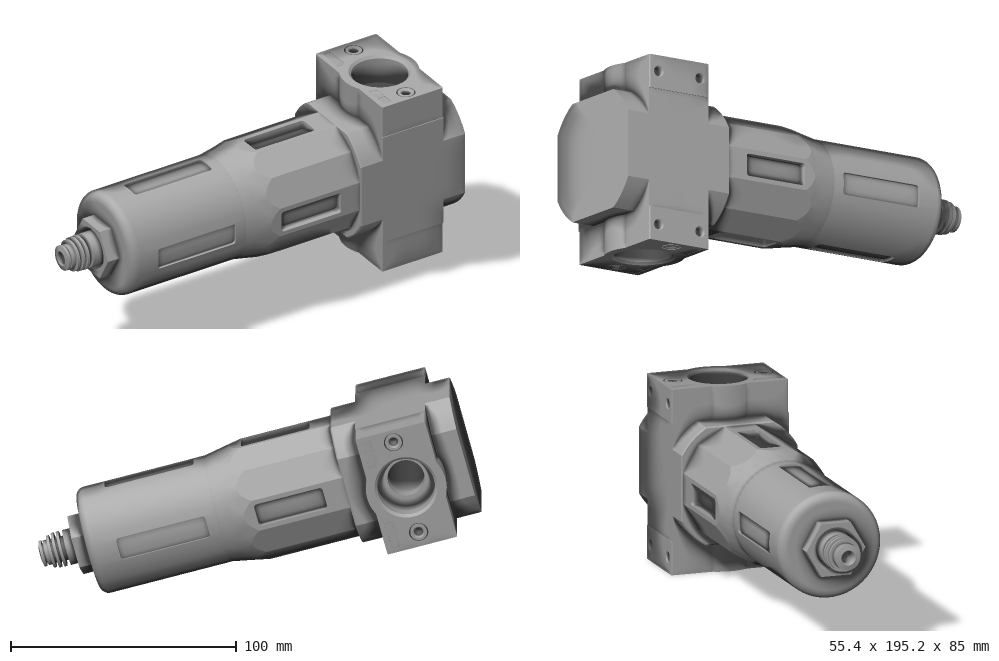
import cadquery as cq
import math


housing_width = 55.0
housing_height = 54.3
housing_back = 27.3
housing_front = -27.5
housing_round_radius = 31.5
end_chamfer = 0.5
flow_bore_diameter = 16.4

plate_width = 55.0
plate_offset = -0.4
plate_depth = 32.0
plates_overall_height = 85.0
plate_edge_chamfer = 0.4
boss_radius = 18.0
port_diameter = 25.5
port_depth = 14.8
port_chamfer = 1.2
relief_diameter = 29.7
relief_width = 1.8
side_hole_diameter = 4.1
side_hole_mouth_diameter = 5.0
side_hole_depth = 4.0
side_hole_pitch = 22.3
side_hole_height = 35.1

label_depth = 0.2
label_center_y = -11.5
label_height = 4.1
label_outer_x = 25.5
label_inner_x = 12.7
label_bevel = 1.8
label_corner_radius = 1.0
label_divider_x = 19.3
label_divider_width = 0.49

screw_offset = 21.5
head_diameter = 7.5
head_height = 4.0
head_recess_diameter = 8.5
shank_diameter = 5.0
shank_length_in_housing = 7.8
socket_mouth_diameter = 5.0
socket_diameter = 4.1
socket_depth = 2.7
socket_point_depth = 1.2

grip_sides = 12
grip_flats = 53.1
barrel_diameter = 48.6
cone_front = -85.9
cone_slope = 0.19
guard_front = -145.8
guard_fillet = 4.1
window_width = 10.2
window_floor_diameter = 45.9
window_corner_radius = 1.4
grip_window = (-68.7, -37.3)
barrel_window = (-132.0, -91.2)

nut_flats = 24.0
nut_thickness = 6.0
nut_bore_diameter = 18.0
nut_mouth_diameter = 20.3

collar_diameter = 16.0
collar_front = -155.8
neck_diameter = 11.0
rib_diameters = (16.0, 15.8, 14.6)
first_rib_middle = -158.1
rib_pitch = 2.3
rib_thickness = 1.2
tail_diameter = 11.3
tail_front = -165.4
groove_diameter = 8.5
tip_diameter = 11.7
tip_back = -166.1
tip_rim = -167.3
nipple_front = -167.9
nipple_bore_diameter = 6.0
nipple_mouth_diameter = 6.8
nipple_bore_depth = 9.8

plate_seat = housing_height / 2
barrel_radius = barrel_diameter / 2
plate_top = plates_overall_height / 2
head_seat = plate_top - head_height
nut_front = guard_front - nut_thickness
screw_positions = [(-screw_offset, 0), (screw_offset, 0)]


def span(x_size, y_range, z_range, x_middle=0):
    """Box centred on x_middle in X, with given Y and Z ranges."""
    y_low, y_high = y_range
    z_low, z_high = z_range
    return (
        cq.Workplane("XY")
        .box(x_size, y_high - y_low, z_high - z_low)
        .translate((x_middle, (y_low + y_high) / 2, (z_low + z_high) / 2))
    )


def upright_cylinder(diameter, z_low, z_high, positions=((0, 0),)):
    """Cylinders along Z between two heights."""
    return (
        cq.Workplane("XY", origin=(0, 0, z_low))
        .pushPoints(list(positions))
        .circle(diameter / 2)
        .extrude(z_high - z_low)
    )


def along_bowl(y_back):
    """Workplane whose extrusions run toward -Y, with local X along X and local Y along Z."""
    return cq.Workplane("XZ", origin=(0, y_back, 0))


def turned(profile):
    """Solid of revolution about the Y axis from (radius, y) points."""
    return cq.Workplane("XY").polyline(profile).close().revolve(360, (0, 0), (0, 1))


def turned_upright(profile):
    """Solid of revolution about the Z axis from (radius, z) points."""
    return cq.Workplane("XZ").polyline(profile).close().revolve(360, (0, 0), (0, 1))


def flip(body):
    """Mirror a body to the other side of the housing."""
    return body.mirror("XY")


def make_housing():
    rounded = along_bowl(housing_back).circle(housing_round_radius).extrude(housing_back - housing_front)
    rounded = rounded.intersect(
        span(housing_width, (housing_front, housing_back), (-plate_seat, plate_seat))
    )
    rounded = rounded.faces("<Y").chamfer(end_chamfer)
    middle = span(housing_width, (-plate_depth / 2, plate_depth / 2), (-plate_seat, plate_seat))
    bore = upright_cylinder(flow_bore_diameter, -plate_seat, plate_seat)
    screw_hole = upright_cylinder(
        shank_diameter, plate_seat - shank_length_in_housing, plate_seat, screw_positions
    )
    return rounded.union(middle).cut(bore).cut(screw_hole).cut(flip(screw_hole))


def label_field(mirrored):
    """Shallow recess with a bevelled inner end; mirrored puts it on the +X side."""
    top = label_center_y + label_height / 2
    bottom = label_center_y - label_height / 2
    field = (
        cq.Workplane("XY", origin=(0, 0, plate_top - label_depth))
        .moveTo(-label_outer_x, bottom)
        .lineTo(-label_inner_x, bottom)
        .lineTo(-label_inner_x, top - label_bevel)
        .lineTo(-label_inner_x - label_bevel, top)
        .lineTo(-label_outer_x, top)
        .close()
        .extrude(label_depth)
        .edges("|Z and <X")
        .fillet(label_corner_radius)
    )
    if mirrored:
        field_heights = (plate_top - label_depth, plate_top)
        divider = span(label_divider_width, (bottom, top), field_heights, label_divider_x)
        field = field.mirror("YZ").cut(divider)
    return field.translate((plate_offset, 0, 0))


def make_port_plate():
    plate = (
        span(plate_width, (-plate_depth / 2, plate_depth / 2), (plate_seat, plate_top), plate_offset)
        .edges("|Z")
        .chamfer(plate_edge_chamfer)
    )
    plate = plate.union(upright_cylinder(2 * boss_radius, plate_seat, plate_top, [(plate_offset, 0)]))
    plate = plate.cut(upright_cylinder(flow_bore_diameter, plate_seat, plate_top))
    port_floor = plate_top - port_depth
    port_radius = port_diameter / 2
    relief_radius = relief_diameter / 2
    port = turned_upright([
        (0, port_floor),
        (relief_radius, port_floor),
        (relief_radius, port_floor + relief_width),
        (port_radius, port_floor + relief_width),
        (port_radius, plate_top - port_chamfer),
        (port_radius + port_chamfer, plate_top),
        (0, plate_top),
    ])
    plate = plate.cut(port)
    plate = plate.cut(upright_cylinder(shank_diameter, plate_seat, plate_top, screw_positions))
    plate = plate.cut(upright_cylinder(head_recess_diameter, head_seat, plate_top, screw_positions))

    plate_side = plate_offset - plate_width / 2
    mouth_chamfer = (side_hole_mouth_diameter - side_hole_diameter) / 2
    side_hole_places = [(side_hole_pitch / 2, side_hole_height), (-side_hole_pitch / 2, side_hole_height)]
    side_holes = (
        cq.Workplane("YZ", origin=(plate_side, 0, 0))
        .pushPoints(side_hole_places)
        .circle(side_hole_diameter / 2)
        .extrude(side_hole_depth)
    )
    mouths = (
        cq.Workplane("YZ", origin=(plate_side, 0, 0))
        .pushPoints(side_hole_places)
        .circle(side_hole_mouth_diameter / 2)
        .extrude(mouth_chamfer, taper=45)
    )
    plate = plate.cut(side_holes).cut(mouths)
    return plate.cut(label_field(False)).cut(label_field(True))


def make_screw(x):
    socket_floor = plate_top - socket_depth
    socket_radius = socket_diameter / 2
    mouth_radius = socket_mouth_diameter / 2
    profile = [
        (0, plate_seat - shank_length_in_housing),
        (shank_diameter / 2, plate_seat - shank_length_in_housing),
        (shank_diameter / 2, head_seat),
        (head_diameter / 2, head_seat),
        (head_diameter / 2, plate_top),
        (mouth_radius, plate_top),
        (socket_radius, plate_top - (mouth_radius - socket_radius)),
        (socket_radius, socket_floor),
        (0, socket_floor - socket_point_depth),
    ]
    return turned_upright(profile).translate((x, 0, 0))


def window_cutter(y_range, angle):
    """Rounded slot reaching in to the window floor, turned about the bowl axis."""
    y_low, y_high = y_range
    slot = (
        span(window_width, y_range, (0, housing_round_radius))
        .edges("|Z")
        .fillet(window_corner_radius)
    )
    core = along_bowl(y_high).circle(window_floor_diameter / 2).extrude(y_high - y_low)
    return slot.cut(core).rotate((0, 0, 0), (0, 1, 0), angle)


def make_guard():
    half_step = math.pi / grip_sides
    grip_diameter = grip_flats / math.cos(half_step)
    grip = (
        along_bowl(housing_front)
        .polygon(grip_sides, grip_diameter)
        .extrude(housing_front - cone_front)
        .rotate((0, 0, 0), (0, 1, 0), math.degrees(half_step))
    )
    cone_back_radius = barrel_radius + cone_slope * (housing_front - cone_front)
    grip = grip.intersect(turned([
        (0, cone_front),
        (barrel_radius, cone_front),
        (cone_back_radius, housing_front),
        (0, housing_front),
    ]))
    barrel = along_bowl(cone_front).circle(barrel_radius).extrude(cone_front - guard_front)
    guard = grip.union(barrel.faces("<Y").edges().fillet(guard_fillet))
    for angle in (0, 90, 180, 270):
        for y_range in (grip_window, barrel_window):
            guard = guard.cut(window_cutter(y_range, angle))
    return guard


def make_drain_nut():
    nut_sides = 6
    nut_corners = nut_flats / math.cos(math.pi / nut_sides)
    nut = (
        along_bowl(guard_front)
        .polygon(nut_sides, nut_corners)
        .circle(nut_bore_diameter / 2)
        .extrude(nut_thickness)
    )
    mouth_chamfer = (nut_mouth_diameter - nut_bore_diameter) / 2
    mouth = turned([
        (0, nut_front),
        (nut_mouth_diameter / 2, nut_front),
        (nut_bore_diameter / 2, nut_front + mouth_chamfer),
        (0, nut_front + mouth_chamfer),
    ])
    return nut.cut(mouth)


def make_nipple():
    def section(diameter, y_back, y_front):
        return along_bowl(y_back).circle(diameter / 2).extrude(y_back - y_front)

    last_rib_middle = first_rib_middle - rib_pitch * (len(rib_diameters) - 1)
    nipple = section(collar_diameter, guard_front, collar_front)
    nipple = nipple.union(section(neck_diameter, collar_front, last_rib_middle))
    for index, diameter in enumerate(rib_diameters):
        rib_back = first_rib_middle - index * rib_pitch + rib_thickness / 2
        nipple = nipple.union(section(diameter, rib_back, rib_back - rib_thickness))
    nipple = nipple.union(section(tail_diameter, last_rib_middle, tail_front))
    nipple = nipple.union(section(groove_diameter, tail_front, tip_back))
    nipple = nipple.union(turned([
        (0, tip_back),
        (tip_diameter / 2, tip_back),
        (tip_diameter / 2, tip_rim),
        (nipple_mouth_diameter / 2, nipple_front),
        (0, nipple_front),
    ]))
    mouth_chamfer = (nipple_mouth_diameter - nipple_bore_diameter) / 2
    bore = turned([
        (0, nipple_front),
        (nipple_mouth_diameter / 2, nipple_front),
        (nipple_bore_diameter / 2, nipple_front + mouth_chamfer),
        (nipple_bore_diameter / 2, nipple_front + nipple_bore_depth),
        (0, nipple_front + nipple_bore_depth),
    ])
    return nipple.cut(bore)


housing = make_housing()
guard = make_guard()
drain_nut = make_drain_nut()
nipple = make_nipple()

upper_plate = make_port_plate()
port_plates = [upper_plate, flip(upper_plate)]

screws = []
for screw_x, _ in screw_positions:
    upper_screw = make_screw(screw_x)
    screws += [upper_screw, flip(upper_screw)]

result = cq.Compound.makeCompound([
    housing.val(),
    guard.val(),
    drain_nut.val(),
    nipple.val(),
    *[plate.val() for plate in port_plates],
    *[screw.val() for screw in screws],
])